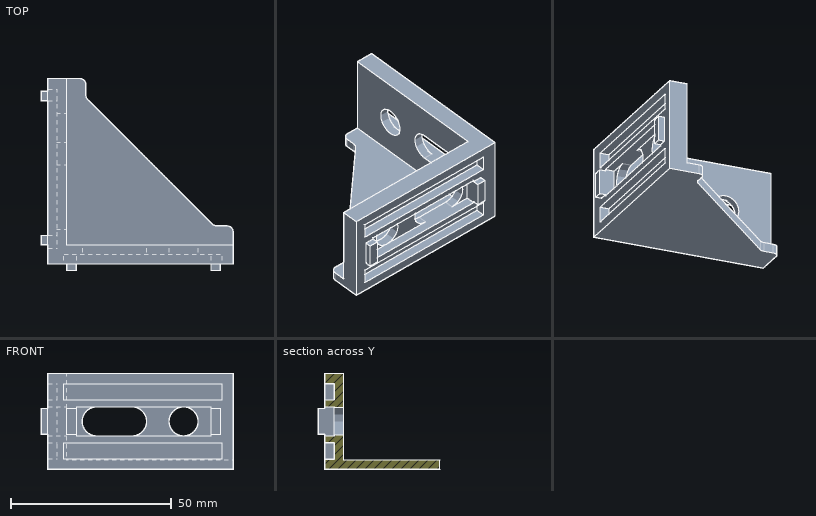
import cadquery as cq

overall_length = 60.0
height = 30.0
peg_projection = 2.0
leg_length = overall_length - peg_projection
wall_thickness = 6.0
mid_height = height / 2

gusset_thickness = 3.0
lip_width = 12.0
lip_length = 6.0
lip_corner_radius = 2.0
lip_root_radius = 2.0

groove_start = 4.9
groove_end = 54.5
groove_height = 5.05
groove_offset = 9.25
groove_depth = 3.0
pocket_start = 9.0
pocket_end = 51.0
pocket_depth = 3.0

bolt_width = 9.0
slot_length = 20.05
slot_center = 20.9
hole_center = 42.5

peg_width = 3.0
peg_height = 8.15


def face_box(start, end, box_height, inner_y, outer_y, center_z=mid_height):
    """Box along the X leg, between two distances from the corner."""
    return cq.Workplane("XY").box(
        end - start, outer_y - inner_y, box_height, centered=False
    ).translate((start, inner_y, center_z - box_height / 2))


def on_both_legs(feature):
    """Pair a feature of the X leg with its mirror image on the Y leg."""
    turned = feature.rotate((0, 0, 0), (0, 0, 1), 90).mirror("YZ")
    return feature.union(turned)


def make_leg():
    return cq.Workplane("XY").box(leg_length, wall_thickness, height, centered=False)


def make_gusset():
    lip_end = leg_length - lip_length
    plate = (
        cq.Workplane("XY")
        .polyline([
            (0, 0),
            (leg_length, 0),
            (leg_length, lip_width),
            (lip_end, lip_width),
            (lip_width, lip_end),
            (lip_width, leg_length),
            (0, leg_length),
        ])
        .close()
        .extrude(gusset_thickness)
    )

    def upright_edge(x, y):
        return cq.selectors.NearestToPointSelector((x, y, gusset_thickness / 2))

    for along, radius in ((leg_length, lip_corner_radius), (lip_end, lip_root_radius)):
        plate = plate.edges(upright_edge(along, lip_width)).fillet(radius)
        plate = plate.edges(upright_edge(lip_width, along)).fillet(radius)
    return plate


def make_recesses():
    recesses = face_box(pocket_start, pocket_end, bolt_width, 0, pocket_depth)
    for side in (-1, 1):
        groove_z = mid_height + side * groove_offset
        groove = face_box(groove_start, groove_end, groove_height, 0, groove_depth, groove_z)
        recesses = recesses.union(groove)
    return recesses


def make_bolt_openings():
    plane = cq.Workplane("XZ")
    slot = plane.center(slot_center, mid_height).slot2D(slot_length, bolt_width).extrude(-wall_thickness)
    hole = plane.center(hole_center, mid_height).circle(bolt_width / 2).extrude(-wall_thickness)
    return slot.union(hole)


def make_pegs():
    near_peg = face_box(pocket_start - peg_width, pocket_start, peg_height, -peg_projection, 0)
    far_peg = face_box(pocket_end, pocket_end + peg_width, peg_height, -peg_projection, 0)
    return near_peg.union(far_peg)


bracket = on_both_legs(make_leg()).union(make_gusset())
bracket = bracket.cut(on_both_legs(make_recesses()))
bracket = bracket.cut(on_both_legs(make_bolt_openings()))
result = bracket.union(on_both_legs(make_pegs()))